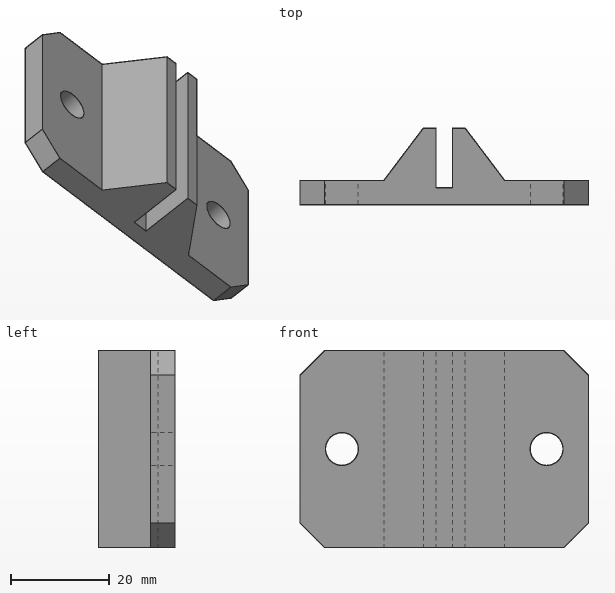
import cadquery as cq

plate_width = 58.5
plate_height = 40.0
plate_thickness = 5.0
corner_chamfer = 5.0

hole_diameter = 6.6
hole_spacing = 41.5

overall_depth = 15.6
rib_root_width = 24.5
rib_tip_width = 8.5

slot_width = 3.3
slot_depth = 12.1


def make_plate():
    """Rectangular plate with four chamfered corners."""
    return (
        cq.Workplane("XY")
        .box(plate_width, plate_thickness, plate_height, centered=(True, False, True))
        .edges("|Y")
        .chamfer(corner_chamfer)
    )


def make_rib():
    """Trapezoidal rib extruded along Z."""
    return (
        cq.Workplane("XY")
        .polyline([
            (-rib_root_width / 2, plate_thickness),
            (rib_root_width / 2, plate_thickness),
            (rib_tip_width / 2, overall_depth),
            (-rib_tip_width / 2, overall_depth),
        ])
        .close()
        .extrude(plate_height / 2, both=True)
    )


def make_slot():
    """Full-height slot, open at the rib tip."""
    return (
        cq.Workplane("XY")
        .box(slot_width, slot_depth, plate_height, centered=(True, False, True))
        .translate((0, overall_depth - slot_depth, 0))
    )


def make_holes():
    """Pair of cylinders passing through the plate along Y."""
    return (
        cq.Workplane("XZ")
        .pushPoints([(-hole_spacing / 2, 0), (hole_spacing / 2, 0)])
        .circle(hole_diameter / 2)
        .extrude(-plate_thickness)
    )


result = make_plate().union(make_rib()).cut(make_slot()).cut(make_holes())